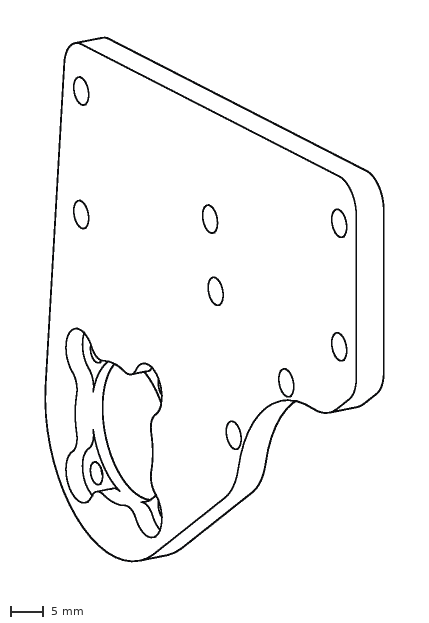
import cadquery as cq
import math

thickness = 5.0
length = 90.5
height = 80.2

end_radius = 20.0
corner_radius = 5.0
left_corner_x = -9.5
right_corner_x = length - end_radius - corner_radius
top_corner_z = height - end_radius - corner_radius
lower_corner_z = 29.0

bite_x = 56.2
bite_radius = 20.5
bite_blend_radius = 10.0

bore_diameter = 22.5
screw_diameter = 3.5
screw_offset = 9.9
recess_depth = 3.0
lobe_radius = 4.1
lobe_blend_radius = 3.0

hole_diameter = 4.3
hole_row_z = 52.65
hole_row_spacing = 20.0
other_holes = [(27.95, 42.6), (29.6, 31.4), (50.1, 22.4), (34.8, 9.6)]
screws = [(x, z) for x in (-screw_offset, screw_offset) for z in (-screw_offset, screw_offset)]
corner_holes = [
    (x, z)
    for x in (left_corner_x, right_corner_x)
    for z in (hole_row_z, hole_row_z - hole_row_spacing)
]


def point_on_circle(center, radius, angle):
    return (center[0] + radius * math.cos(angle), center[1] + radius * math.sin(angle))


def tangent_normal(first, second):
    """Angle of the outward normal of the tangent joining two (center, radius) circles."""
    (x1, z1), r1 = first
    (x2, z2), r2 = second
    direction = math.atan2(z2 - z1, x2 - x1)
    return direction + math.acos((r1 - r2) / math.hypot(x2 - x1, z2 - z1))


def cylinders(points, radius, depth):
    return cq.Workplane("XZ").pushPoints(points).circle(radius).extrude(-depth)


rounds = [
    ((0, 0), end_radius),
    ((left_corner_x, top_corner_z), corner_radius),
    ((right_corner_x, top_corner_z), corner_radius),
    ((right_corner_x, lower_corner_z), corner_radius),
]
normals = [tangent_normal(rounds[i], rounds[(i + 1) % len(rounds)]) for i in range(len(rounds))]


def make_plate():
    outline = cq.Workplane("XZ").moveTo(*point_on_circle(*rounds[0], normals[-1]))
    for i, (center, radius) in enumerate(rounds):
        start = normals[i - 1]
        turn = (start - normals[i]) % (2 * math.pi)
        middle = point_on_circle(center, radius, start - turn / 2)
        end = point_on_circle(center, radius, normals[i])
        next_center, next_radius = rounds[(i + 1) % len(rounds)]
        outline = outline.threePointArc(middle, end)
        outline = outline.lineTo(*point_on_circle(next_center, next_radius, normals[i]))
    return outline.close().extrude(-thickness)


def cut_bite(plate):
    plate = plate.cut(cylinders([(bite_x, 0)], bite_radius, thickness))
    edge_normal = normals[-1]
    edge_distance = bite_x * math.cos(edge_normal) - end_radius
    half_angle = math.acos(edge_distance / bite_radius)
    for side in (-1, 1):
        x, z = point_on_circle((bite_x, 0), bite_radius, edge_normal + math.pi + side * half_angle)
        cusp = cq.selectors.NearestToPointSelector((x, thickness / 2, z))
        plate = plate.edges("|Y").edges(cusp).fillet(bite_blend_radius)
    return plate


def make_recess():
    """Bore circle and four lobes, with the inside corners between them rounded."""
    recess = cylinders([(0, 0)], bore_diameter / 2, recess_depth)
    recess = recess.union(cylinders(screws, lobe_radius, recess_depth))
    bore_radius = bore_diameter / 2
    lobe_distance = math.hypot(screw_offset, screw_offset)
    spread = math.acos(
        (bore_radius**2 + lobe_distance**2 - lobe_radius**2) / (2 * bore_radius * lobe_distance)
    )
    for x, z in screws:
        for side in (-1, 1):
            corner_x, corner_z = point_on_circle((0, 0), bore_radius, math.atan2(z, x) + side * spread)
            corner = cq.selectors.NearestToPointSelector((corner_x, recess_depth / 2, corner_z))
            recess = recess.edges("|Y").edges(corner).fillet(lobe_blend_radius)
    return recess


result = cut_bite(make_plate())
result = result.cut(make_recess())
result = result.cut(cylinders([(0, 0)], bore_diameter / 2, thickness))
result = result.cut(cylinders(screws, screw_diameter / 2, thickness))
result = result.cut(cylinders(corner_holes + other_holes, hole_diameter / 2, thickness))